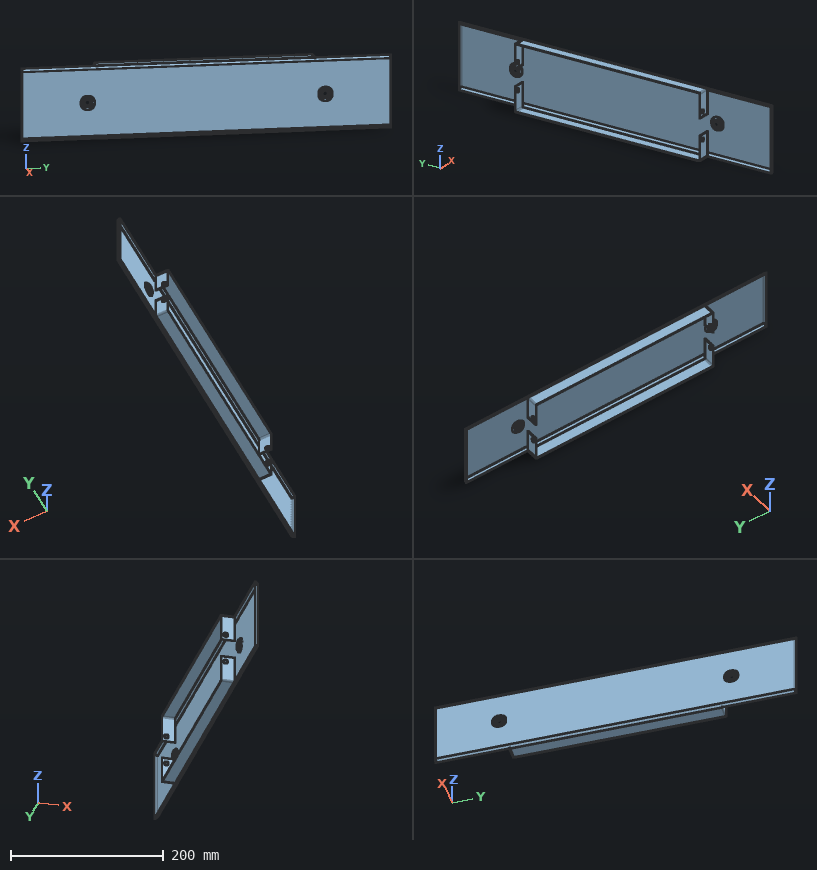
import cadquery as cq
import math

sheet = 1.0
bend_inner = 1.0
bend_outer = bend_inner + sheet

depth = 22.5
plate_length = 491.0
frame_height = 98.1

lip_reach = 4.0
lip_overlap = 0.7
lip_edge_step = sheet * math.sin(math.radians(45))
floor_x = depth - sheet
lip_outer_x = depth - lip_reach
lip_inner_x = lip_outer_x - lip_edge_step
lip_outer_z = frame_height / 2 - sheet + lip_overlap
lip_inner_z = lip_outer_z - lip_edge_step
back_half_z = lip_outer_z - lip_reach
floor_half_z = lip_inner_z - (floor_x - lip_inner_x)

wing_length = 100.0
frame_length = plate_length - 2 * wing_length
notch_width = 25.0
frame_depth = 18.2
tab_hole_diameter = 5.5
tab_hole_x = 6.0
tab_hole_z = 20.0

dimple_y = 158.0
dimple_base_diameter = 19.0
dimple_top_diameter = 13.5
dimple_height = 2.5
mounting_hole_diameter = 8.0


def prism_along_y(points, length):
    """Extrude an XZ outline symmetrically along Y."""
    return cq.Workplane("XZ").polyline(points).close().extrude(length / 2, both=True)


def mirrored_in_z(upper_points):
    """Close an outline by mirroring its upper half about Z = 0."""
    return upper_points + [(x, -z) for x, z in reversed(upper_points)]


def make_plate():
    """Shallow tray: flat floor, 45 degree long lips, bent end flanges."""
    outside = prism_along_y(
        mirrored_in_z([(lip_inner_x, lip_inner_z), (lip_outer_x, lip_outer_z), (depth, back_half_z)]),
        plate_length,
    )
    outside = outside.faces(">X").edges("|Z").fillet(bend_outer)
    cavity = prism_along_y(
        mirrored_in_z([(lip_inner_x, lip_inner_z), (floor_x, floor_half_z)]),
        plate_length - 2 * sheet,
    )
    cavity = cavity.faces(">X").edges("|Z").fillet(bend_inner)
    return outside.cut(cavity)


def rounded_block(length, height, corner_radius):
    """Block as deep as the frame, rounded along its X edges."""
    block = cq.Workplane("YZ").rect(length, height).extrude(frame_depth)
    return block.edges("|X").fillet(corner_radius)


def make_frame():
    """Rectangular wall ring whose end walls are split into drilled tabs."""
    outside = rounded_block(frame_length, frame_height, bend_outer)
    inside = rounded_block(frame_length - 2 * sheet, frame_height - 2 * sheet, bend_inner)
    notch = cq.Workplane("YZ").rect(frame_length, notch_width).extrude(frame_depth)
    tab_holes = (
        cq.Workplane("XZ")
        .pushPoints([(tab_hole_x, tab_hole_z), (tab_hole_x, -tab_hole_z)])
        .circle(tab_hole_diameter / 2)
        .extrude(frame_length, both=True)
    )
    return outside.cut(inside).cut(notch).cut(tab_holes)


def dimple_cone(back_x, y):
    """Cone frustum narrowing toward -X from a base at back_x."""
    return cq.Workplane(
        cq.Solid.makeCone(
            dimple_base_diameter / 2,
            dimple_top_diameter / 2,
            dimple_height,
            cq.Vector(back_x, y, 0),
            cq.Vector(-1, 0, 0),
        )
    )


def add_dimple(body, y):
    """Press one dimple forward out of the floor and pierce its centre."""
    hole = (
        cq.Workplane("YZ", origin=(0, y, 0))
        .circle(mounting_hole_diameter / 2)
        .extrude(depth)
    )
    return body.union(dimple_cone(floor_x, y)).cut(dimple_cone(depth, y)).cut(hole)


result = make_plate().union(make_frame())
for side in (-1, 1):
    result = add_dimple(result, side * dimple_y)